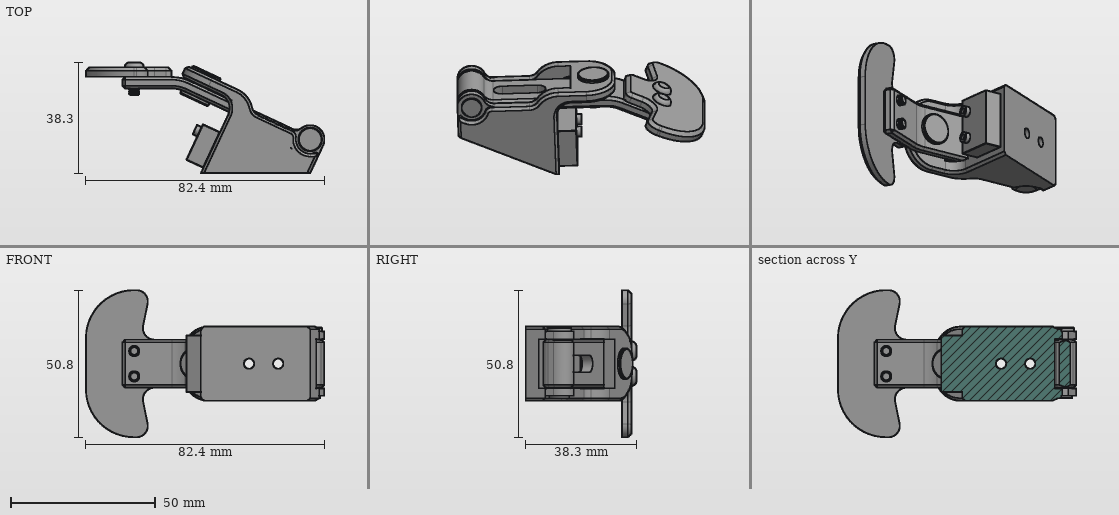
import cadquery as cq
import math

TILT = 25.0
SIN = math.sin(math.radians(TILT))
COS = math.cos(math.radians(TILT))
TAN = SIN / COS

LENGTH = 82.4
HEIGHT = 50.8
EDGE = 1.0

HUB_RADIUS = 4.95
PIN_X = LENGTH - HUB_RADIUS
PIN_Y = 11.6
NECK_RADIUS = 3.55
HUB_HALF = 11.1
PIN_HEAD_RADIUS = 4.1
PIN_BEVEL = 0.25
PIN_HEAD_TOP = 12.5
PIN_TAIL_RADIUS = 3.5
PIN_TAIL_BOTTOM = -11.9

BODY_HALF = 12.85
BODY_LEFT = 36.0
BACK = 43.3
YOKE_TIP = 15.7
YOKE_INNER = 44.2
YOKE_OUTER = 48.3
YOKE_INNER_RADIUS = 5.0
YOKE_OUTER_RADIUS = 9.1
YOKE_OUTER_END = 35.35
YOKE_FOOT_RADIUS = 3.6
YOKE_CORNER = 9.9
LIP_RADIUS = 2.3
SLOT_HALF = 8.5
SLOT_FLOOR = 37.7
BASE_HOLE_RADIUS = 1.7
BASE_HOLE_X = (56.4, 66.4)

LEVER_HALF = 8.3
HEEL_RADIUS = 2.8
LEVER_THICKNESS = 4.0
LEVER_TOP = 44.0
LEVER_BOTTOM = LEVER_TOP - LEVER_THICKNESS
LEVER_START = 12.6
BEND_RADIUS = 10.4
WINDOW_HALF = 3.0
WINDOW_START = 39.7
WINDOW_END = 57.7

PAD_FRONT = 33.2
PAD_THICKNESS = 3.4
PAD_BACK = PAD_FRONT + PAD_THICKNESS
PAD_BEVEL = 1.3
PAD_ARC = 16.65
LOBE_TOP_X = 22.3
LOBE_ROOT_X = 18.9
LOBE_RADIUS = 3.95
TONGUE_END = 29.7
TONGUE_CORNER = 2.0

SCREW_X = 16.7
SCREW_Z = 4.4
DOME_BASE = 3.4
DOME_TOP = 1.9
DOME_HEIGHT = 1.65
DOME_MIDDLE = (3.0, PAD_BACK + 1.0)
THREAD_RADIUS = 1.8
THREAD_ROOT = 1.3
THREAD_PITCH = 0.75
THREAD_TURNS = 3

RIVET_U = 23.15
RIVET_RADIUS = 5.35
RIVET_HEAD = 1.0
RIVET_FOOT = 1.3
RIVET_BEVEL = 0.3
RIVET_SHANK = 2.5

BLOCK_U = 29.5
BLOCK_N = (18.8, 32.4)
BLOCK_HALF = 9.8
BLOCK_BEVEL = 0.2
CAP_N = 29.5
CAP_Z = 4.8
CAP_RADIUS = 1.8
CAP_HEIGHT = 1.7
SOCKET_RADIUS = 0.9
SOCKET_DEPTH = 1.0


def to_tilted(x, y):
    """Tilted coordinates (u, n) of the point (x, y)."""
    return (x * COS - y * SIN, x * SIN + y * COS)


def from_tilted(u, n):
    return (u * COS + n * SIN, n * COS - u * SIN)


def on_circle(center, radius, angle):
    return (center[0] + radius * math.cos(angle), center[1] + radius * math.sin(angle))


TILTED = cq.Plane(origin=(0, 0, 0), xDir=(COS, -SIN, 0), normal=(0, 0, 1))
PIN_U, PIN_N = to_tilted(PIN_X, PIN_Y)
BODY_RIGHT = PIN_U + HUB_RADIUS


def tilted_sketch(z):
    return cq.Workplane(TILTED).workplane(offset=z)


def tilted_box(u_range, n_range, half):
    u0, u1 = u_range
    n0, n1 = n_range
    corners = [(u0, n0), (u1, n0), (u1, n1), (u0, n1)]
    return tilted_sketch(-half).polyline(corners).close().extrude(2 * half)


def pin_cylinder(radius, bottom, top):
    return tilted_sketch(bottom).center(PIN_U, PIN_N).circle(radius).extrude(top - bottom)


def fillet_upright(solid, radius, x, y):
    """Round the upright edge nearest to (x, y)."""
    nearest = cq.selectors.NearestToPointSelector((x, y, 0))
    return solid.edges("|Z").edges(nearest).fillet(radius)


def hub(back, half):
    """Round hub about the pin, blended by a hollow neck into the flat back at n = back."""
    rise = back + NECK_RADIUS - PIN_N
    reach = HUB_RADIUS + NECK_RADIUS
    center = (PIN_U - math.sqrt(reach**2 - rise**2), back + NECK_RADIUS)
    start_angle = -math.pi / 2
    end_angle = math.atan2(PIN_N - center[1], PIN_U - center[0])
    neck = (
        tilted_sketch(-half)
        .moveTo(center[0], back)
        .threePointArc(
            on_circle(center, NECK_RADIUS, (start_angle + end_angle) / 2),
            on_circle(center, NECK_RADIUS, end_angle),
        )
        .lineTo(PIN_U, PIN_N)
        .lineTo(PIN_U, LEVER_BOTTOM)
        .lineTo(center[0], LEVER_BOTTOM)
        .close()
        .extrude(2 * half)
    )
    return neck.union(pin_cylinder(HUB_RADIUS, -half, half))


def make_body():
    """Wedge with the yoke plate, bevelled sides, recessed hub cheeks and a slot for the lever."""
    inner_center = (BODY_LEFT - YOKE_INNER_RADIUS, YOKE_INNER - YOKE_INNER_RADIUS)
    outer_center = (YOKE_OUTER_END, YOKE_OUTER - YOKE_OUTER_RADIUS)
    foot_angle = math.asin((BACK - outer_center[1]) / YOKE_OUTER_RADIUS)
    foot = on_circle(outer_center, YOKE_OUTER_RADIUS, foot_angle)
    pin = (PIN_U, PIN_N)
    lip = (PIN_U - math.sqrt(HUB_RADIUS**2 - (BACK - PIN_N) ** 2), BACK)
    recess_end = to_tilted(PIN_X, PIN_Y - HUB_RADIUS)
    ledge_end = (BODY_RIGHT, recess_end[1] + (BODY_RIGHT - recess_end[0]) * TAN)
    body = (
        tilted_sketch(-BODY_HALF)
        .moveTo(BODY_LEFT, BODY_LEFT * TAN)
        .lineTo(BODY_LEFT, inner_center[1])
        .threePointArc(
            on_circle(inner_center, YOKE_INNER_RADIUS, math.pi / 4),
            (inner_center[0], YOKE_INNER),
        )
        .lineTo(YOKE_TIP, YOKE_INNER)
        .lineTo(YOKE_TIP, YOKE_OUTER)
        .lineTo(YOKE_OUTER_END, YOKE_OUTER)
        .threePointArc(
            on_circle(outer_center, YOKE_OUTER_RADIUS, (foot_angle + math.pi / 2) / 2),
            foot,
        )
        .lineTo(*lip)
        .threePointArc(on_circle(pin, HUB_RADIUS, -3 * math.pi / 4), recess_end)
        .lineTo(*ledge_end)
        .lineTo(BODY_RIGHT, BODY_RIGHT * TAN)
        .close()
        .extrude(2 * BODY_HALF)
    )
    body = fillet_upright(body, YOKE_FOOT_RADIUS, *from_tilted(*foot))
    body = fillet_upright(body, LIP_RADIUS, *from_tilted(*lip))
    tip_x, tip_y = from_tilted(YOKE_TIP, (YOKE_INNER + YOKE_OUTER) / 2)
    for z in (-BODY_HALF, BODY_HALF):
        corner = cq.selectors.NearestToPointSelector((tip_x, tip_y, z))
        body = body.edges(corner).fillet(YOKE_CORNER)
    body = body.faces("<Z or >Z").edges("not <Y").chamfer(EDGE)
    heel = tilted_box((PIN_U, BODY_RIGHT), (ledge_end[1], PIN_N), HUB_HALF)
    body = body.union(hub(BACK, HUB_HALF)).union(heel)

    under_yoke = tilted_box((YOKE_TIP, BODY_RIGHT + EDGE), (SLOT_FLOOR, YOKE_INNER), SLOT_HALF)
    behind_yoke = tilted_box(
        (inner_center[0], BODY_RIGHT + EDGE), (SLOT_FLOOR, YOKE_OUTER), SLOT_HALF
    )
    base_holes = (
        cq.Workplane("XZ")
        .pushPoints([(x, 0) for x in BASE_HOLE_X])
        .circle(BASE_HOLE_RADIUS)
        .extrude(-PIN_Y * 2)
    )
    return body.cut(under_yoke).cut(behind_yoke).cut(base_holes)


def make_block():
    """Block on the left face with two socket cap screws."""
    block = tilted_box((BLOCK_U, BODY_LEFT), BLOCK_N, BLOCK_HALF).edges().chamfer(BLOCK_BEVEL)
    cap_x, cap_y = from_tilted(BLOCK_U, CAP_N)
    for z in (-CAP_Z, CAP_Z):
        seat = cq.Plane(origin=(cap_x, cap_y, z), xDir=(0, 0, 1), normal=(-COS, SIN, 0))
        cap = cq.Workplane(seat).circle(CAP_RADIUS).extrude(CAP_HEIGHT)
        socket = (
            cq.Workplane(seat)
            .workplane(offset=CAP_HEIGHT - SOCKET_DEPTH)
            .circle(SOCKET_RADIUS)
            .extrude(SOCKET_DEPTH)
        )
        block = block.union(cap.cut(socket))
    return block


def make_lever():
    """Bent bar from the pad to the hinge hub, with a long window over the base holes."""
    front = PAD_FRONT - LEVER_THICKNESS
    front_bend = ((LEVER_BOTTOM - front * COS) / SIN, front)
    back_bend = ((LEVER_TOP - PAD_FRONT * COS) / SIN, PAD_FRONT)
    lever = (
        cq.Workplane("XY")
        .workplane(offset=-LEVER_HALF)
        .moveTo(LEVER_START, front)
        .lineTo(*front_bend)
        .lineTo(*from_tilted(PIN_U, LEVER_BOTTOM))
        .lineTo(*from_tilted(PIN_U, LEVER_TOP))
        .lineTo(*back_bend)
        .lineTo(LEVER_START, PAD_FRONT)
        .close()
        .extrude(2 * LEVER_HALF)
    )
    lever = fillet_upright(lever, BEND_RADIUS, *front_bend)
    lever = fillet_upright(lever, BEND_RADIUS + LEVER_THICKNESS, *back_bend)
    heel = tilted_box((PIN_U, BODY_RIGHT), (PIN_N - HUB_RADIUS, PIN_N), LEVER_HALF)
    heel = fillet_upright(heel, HEEL_RADIUS, *from_tilted(BODY_RIGHT, PIN_N - HUB_RADIUS))
    lever = lever.union(hub(LEVER_TOP, LEVER_HALF)).union(heel)
    lever = lever.faces("<Z or >Z or <X").edges().chamfer(EDGE)

    window_plane = cq.Plane(origin=(0, 0, 0), xDir=(COS, -SIN, 0), normal=(SIN, COS, 0))
    window = (
        cq.Workplane(window_plane)
        .workplane(offset=LEVER_BOTTOM)
        .center((WINDOW_START + WINDOW_END) / 2, 0)
        .slot2D(WINDOW_END - WINDOW_START, 2 * WINDOW_HALF)
        .extrude(LEVER_THICKNESS)
    )
    return lever.cut(window)


def make_pad():
    """Two-lobed finger pad with a tongue along the lever, bevelled around its back."""
    half = HEIGHT / 2
    corner_z = half - PAD_ARC
    arc_middle = on_circle((PAD_ARC, corner_z), PAD_ARC, 3 * math.pi / 4)
    pad = (
        cq.Workplane("XZ", origin=(0, PAD_FRONT, 0))
        .moveTo(0, -corner_z)
        .lineTo(0, corner_z)
        .threePointArc(arc_middle, (PAD_ARC, half))
        .lineTo(LOBE_TOP_X, half)
        .lineTo(LOBE_ROOT_X, LEVER_HALF)
        .lineTo(TONGUE_END, LEVER_HALF)
        .lineTo(TONGUE_END, -LEVER_HALF)
        .lineTo(LOBE_ROOT_X, -LEVER_HALF)
        .lineTo(LOBE_TOP_X, -half)
        .lineTo(PAD_ARC, -half)
        .threePointArc((arc_middle[0], -arc_middle[1]), (0, -corner_z))
        .close()
        .extrude(-PAD_THICKNESS)
    )
    rounded = (
        (LOBE_TOP_X, half, LOBE_RADIUS),
        (LOBE_ROOT_X, LEVER_HALF, LOBE_RADIUS),
        (TONGUE_END, LEVER_HALF, TONGUE_CORNER),
    )
    middle_y = PAD_FRONT + PAD_THICKNESS / 2
    for x, z, radius in rounded:
        for side in (-1, 1):
            corner = cq.selectors.NearestToPointSelector((x, middle_y, side * z))
            pad = pad.edges("|Y").edges(corner).fillet(radius)
    return pad.faces(">Y").edges().chamfer(PAD_BEVEL)


def make_pad_screw(z):
    """Domed screw through pad and lever; its threaded end stands out in front of the lever."""
    thread_start = PAD_FRONT - LEVER_THICKNESS
    tip = thread_start - THREAD_TURNS * THREAD_PITCH
    profile = cq.Workplane("XY").moveTo(0, tip).lineTo(THREAD_ROOT, tip)
    for turn in range(THREAD_TURNS):
        root = tip + turn * THREAD_PITCH
        profile = profile.lineTo(THREAD_RADIUS, root + THREAD_PITCH / 2)
        profile = profile.lineTo(THREAD_ROOT, root + THREAD_PITCH)
    screw = (
        profile.lineTo(THREAD_ROOT, PAD_BACK)
        .lineTo(DOME_BASE, PAD_BACK)
        .threePointArc(DOME_MIDDLE, (DOME_TOP, PAD_BACK + DOME_HEIGHT))
        .lineTo(0, PAD_BACK + DOME_HEIGHT)
        .close()
        .revolve(360, (0, 0, 0), (0, 1, 0))
    )
    return screw.translate((SCREW_X, 0, z))


def make_rivet():
    """Rivet with a flat round head on the back of the yoke and on the front of the lever."""
    def disc(n, radius, height):
        x, y = from_tilted(RIVET_U, n)
        plane = cq.Plane(origin=(x, y, 0), xDir=(0, 0, 1), normal=(SIN, COS, 0))
        return cq.Workplane(plane).circle(radius).extrude(height)

    shank = disc(LEVER_BOTTOM, RIVET_SHANK, YOKE_OUTER - LEVER_BOTTOM)
    back_head = disc(YOKE_OUTER, RIVET_RADIUS, RIVET_HEAD).faces(">Y").chamfer(RIVET_BEVEL)
    front_head = disc(LEVER_BOTTOM - RIVET_FOOT, RIVET_RADIUS, RIVET_FOOT)
    front_head = front_head.faces("<Y").chamfer(RIVET_BEVEL)
    return shank.union(back_head).union(front_head)


def make_pin():
    head = pin_cylinder(PIN_HEAD_RADIUS, 0, PIN_HEAD_TOP).faces(">Z").chamfer(PIN_BEVEL)
    return head.union(pin_cylinder(PIN_TAIL_RADIUS, PIN_TAIL_BOTTOM, 0))


result = make_body()
parts = [make_block(), make_lever(), make_pin(), make_rivet(), make_pad()]
parts += [make_pad_screw(z) for z in (-SCREW_Z, SCREW_Z)]
for part in parts:
    result = result.union(part)